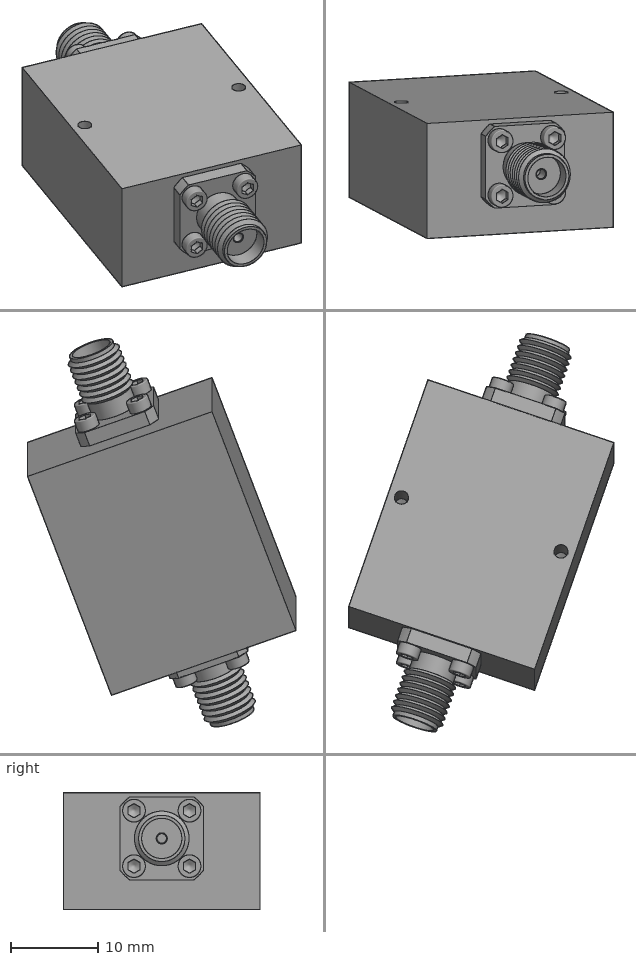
import cadquery as cq
import math

overall_length = 46.9
body_length = 27.9
body_width = 22.5
body_height = 13.4

mount_hole_diameter = 1.57
mount_hole_spacing = 19.3
mount_hole_depth = 5.0
drill_point_angle = 118.0

connector_length = (overall_length - body_length) / 2
connector_height = 1.45
flange_side = 9.5
flange_corner_diameter = 12.0
flange_thickness = 1.7
barrel_diameter = 5.3
bore_diameter = 4.6
bore_depth = 2.0
contact_diameter = 1.1
contact_mouth_diameter = 1.27
contact_depth = 2.0

thread_diameter = 6.25
thread_pitch = 0.75
thread_count = 7
thread_setback = 0.5

screw_spacing = 6.35
screw_head_diameter = 2.6
screw_head_height = 1.3
screw_edge_radius = 0.1
hex_across_flats = 1.4
hex_across_corners = hex_across_flats / math.cos(math.radians(30))
hex_depth = 0.7


def drilled_hole(diameter, depth):
    """Round hole going down from Z = 0, full diameter to the given depth, with a conical end."""
    radius = diameter / 2
    point_height = radius / math.tan(math.radians(drill_point_angle / 2))
    shaft = cq.Workplane("XY").circle(radius).extrude(-depth)
    point = cq.Solid.makeCone(radius, 0, point_height, cq.Vector(0, 0, -depth), cq.Vector(0, 0, -1))
    return shaft.union(cq.Workplane("XY").add(point))


def make_body():
    """Rectangular block with two drilled holes in its top face."""
    body = cq.Workplane("XY").box(body_length, body_width, body_height)
    hole = drilled_hole(mount_hole_diameter, mount_hole_depth)
    for side in (-1, 1):
        body = body.cut(hole.translate((0, side * mount_hole_spacing / 2, body_height / 2)))
    return body


def make_flange():
    """Square plate on Z = 0 whose corners are trimmed by a large circle."""
    square = cq.Workplane("XY").rect(flange_side, flange_side).extrude(flange_thickness)
    disc = cq.Workplane("XY").circle(flange_corner_diameter / 2).extrude(flange_thickness)
    return square.intersect(disc)


def make_barrel():
    """Revolved barrel along Z with adjoining V-shaped thread ridges."""
    root = barrel_diameter / 2
    thread_start = connector_length - thread_setback - thread_count * thread_pitch
    profile = cq.Workplane("XZ").lineTo(root, 0).lineTo(root, thread_start)
    for index in range(thread_count):
        valley = thread_start + index * thread_pitch
        profile = profile.lineTo(thread_diameter / 2, valley + thread_pitch / 2)
        profile = profile.lineTo(root, valley + thread_pitch)
    profile = profile.lineTo(root, connector_length).lineTo(0, connector_length).close()
    return profile.revolve(360, (0, 0, 0), (0, 1, 0))


def make_bore():
    """Open mating bore with the chamfered centre contact socket in its floor."""
    floor = connector_length - bore_depth
    bore = cq.Workplane("XY", origin=(0, 0, floor)).circle(bore_diameter / 2).extrude(bore_depth)
    contact = cq.Workplane("XY", origin=(0, 0, floor)).circle(contact_diameter / 2).extrude(-contact_depth)
    mouth_depth = (contact_mouth_diameter - contact_diameter) / 2
    mouth = cq.Solid.makeCone(
        contact_mouth_diameter / 2,
        contact_diameter / 2,
        mouth_depth,
        cq.Vector(0, 0, floor),
        cq.Vector(0, 0, -1),
    )
    return bore.union(contact).union(cq.Workplane("XY").add(mouth))


def make_screw():
    """Screw head on Z = 0 with a hexagonal socket ending in a cone."""
    head = cq.Workplane("XY").circle(screw_head_diameter / 2).extrude(screw_head_height)
    head = head.faces(">Z").edges().fillet(screw_edge_radius)
    hexagon = cq.Workplane("XY").polygon(6, hex_across_corners).extrude(-screw_head_height)
    socket = hexagon.intersect(drilled_hole(hex_across_corners, hex_depth))
    return head.cut(socket.translate((0, 0, screw_head_height)))


def make_connector():
    """Complete connector standing on Z = 0 and pointing up."""
    connector = make_flange().union(make_barrel())
    screw = make_screw()
    for u in (-1, 1):
        for v in (-1, 1):
            place = (u * screw_spacing / 2, v * screw_spacing / 2, flange_thickness)
            connector = connector.union(screw.translate(place))
    return connector.cut(make_bore())


right_connector = (
    make_connector()
    .rotate((0, 0, 0), (0, 1, 0), 90)
    .translate((body_length / 2, 0, connector_height))
)
left_connector = right_connector.mirror("YZ")

result = make_body().union(right_connector).union(left_connector)